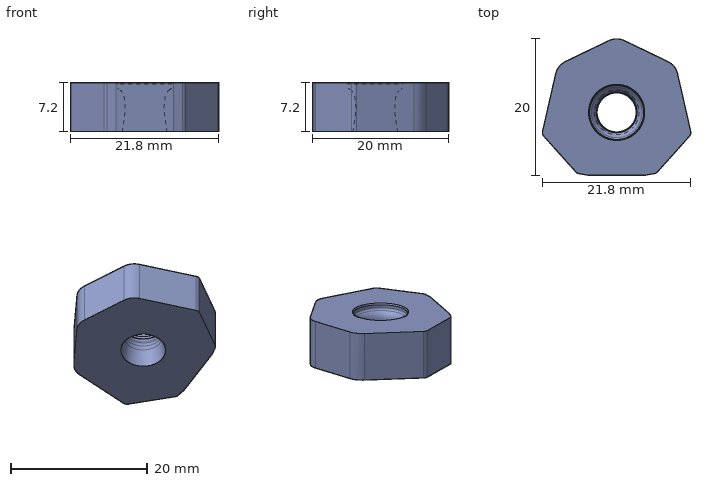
import cadquery as cq
import math

thickness = 7.2
side_pitch = 360 / 7
side_distance = 10.0
flank_angle = -41.9
flank_distance = 10.3
bevel_angle = -80.0
bevel_distance = 9.82
bottom_distance = 9.23
upper_corner_radius = 2.66
lower_corner_radius = 0.79

mouth_radius = 4.12
recess_radius = 3.97
seat_radius = 3.7
neck_radius = 3.0
throat_radius = 2.85
exit_radius = 3.27
chamfer_depth = 0.22
wall_depth = 0.68
seat_depth = 1.03
neck_top_depth = 2.35
neck_bottom_depth = 2.6
throat_top_depth = 3.38
throat_bottom_depth = 4.2


def line_crossing(first, second):
    """Crossing point of two lines, each given as (outward angle, distance from origin)."""
    angle_a, angle_b = math.radians(first[0]), math.radians(second[0])
    spread = math.sin(angle_b - angle_a)
    x = (first[1] * math.sin(angle_b) - second[1] * math.sin(angle_a)) / spread
    y = (second[1] * math.cos(angle_a) - first[1] * math.cos(angle_b)) / spread
    return x, y


def make_body():
    """Plate mirrored about X = 0, with the vertical corners rounded."""
    top_left = (90 + side_pitch / 2, side_distance)
    top_right = (90 - side_pitch / 2, side_distance)
    right = (90 - 1.5 * side_pitch, side_distance)
    flank = (flank_angle, flank_distance)
    bevel = (bevel_angle, bevel_distance)
    bottom = (-90, bottom_distance)

    apex = line_crossing(top_left, top_right)
    shoulder = line_crossing(top_right, right)
    outer_corner = line_crossing(right, flank)
    foot = line_crossing(flank, bevel)
    bottom_end = line_crossing(bevel, bottom)

    right_half = [shoulder, outer_corner, foot, bottom_end]
    left_half = [(-x, y) for x, y in reversed(right_half)]
    body = cq.Workplane("XY").polyline([apex] + right_half + left_half).close().extrude(thickness)

    def round_corners(solid, corners, radius):
        for x, y in corners:
            edge = cq.selectors.NearestToPointSelector((x, y, thickness / 2))
            solid = solid.edges("|Z").edges(edge).fillet(radius)
        return solid

    upper_corners = [apex, shoulder, left_half[-1]]
    lower_corners = [outer_corner, foot, left_half[1], left_half[2]]
    body = round_corners(body, upper_corners, upper_corner_radius)
    return round_corners(body, lower_corners, lower_corner_radius)


def make_hole():
    """Revolved cutter: chamfered recess, rounded screw seat, throat and flared exit."""
    def at(radius, depth):
        return radius, thickness - depth

    seat_width = seat_radius - neck_radius
    seat_height = neck_top_depth - seat_depth
    seat_arc_radius = (seat_width**2 + seat_height**2) / (2 * seat_width)
    half_sweep = math.asin(seat_height / seat_arc_radius) / 2
    seat_middle = at(
        neck_radius + seat_arc_radius * (1 - math.cos(half_sweep)),
        neck_top_depth - seat_arc_radius * math.sin(half_sweep),
    )
    profile = (
        cq.Workplane("XZ")
        .moveTo(*at(0, 0))
        .lineTo(*at(mouth_radius, 0))
        .lineTo(*at(recess_radius, chamfer_depth))
        .lineTo(*at(recess_radius, wall_depth))
        .tangentArcPoint(at(seat_radius, seat_depth), relative=False)
        .threePointArc(seat_middle, at(neck_radius, neck_top_depth))
        .lineTo(*at(neck_radius, neck_bottom_depth))
        .lineTo(*at(throat_radius, throat_top_depth))
        .lineTo(*at(throat_radius, throat_bottom_depth))
        .lineTo(*at(exit_radius, thickness))
        .lineTo(*at(0, thickness))
        .close()
    )
    return profile.revolve(360, (0, 0, 0), (0, 1, 0))


result = make_body().cut(make_hole())